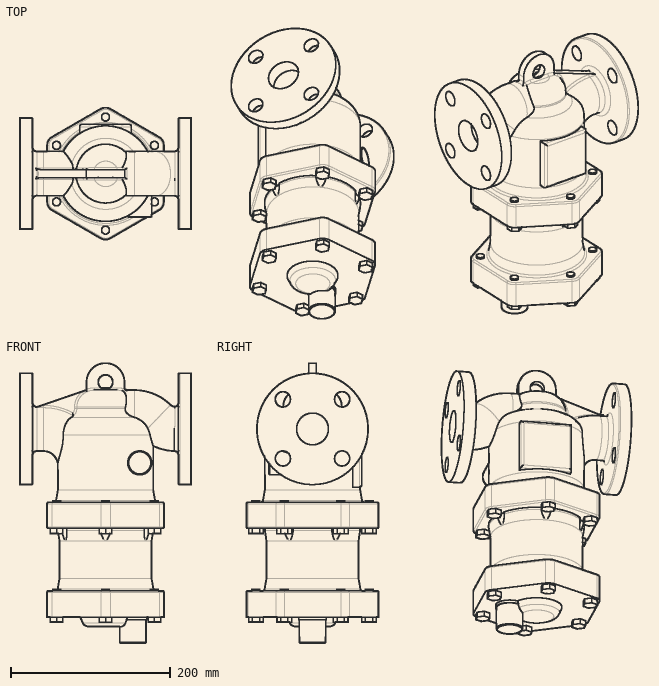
import cadquery as cq
import math


FACE_TO_FACE = 215.0
FLANGE_DIA = 140.0
FLANGE_THICK = 16.0
FLANGE_EDGE_FILLET = 1.5
BORE_DIA = 40.0
BORE_DEPTH = 20.0
FLANGE_HOLE_DIA = 19.0
FLANGE_HOLE_CIRCLE = 105.0
FLANGE_HOLE_COUNT = 4
FLANGE_HOLE_START_ANGLE = 45
PIPE_DIA = 56.0
PIPE_FILLET = 5.0
ELBOW_RADIUS = 46.0
ELBOW_START_X = -78.0
BEND_START_X = 36.0
BEND_END_X = 88.0
BEND_RISE = 21.0

UPPER_RADIUS = 60.0
LOWER_RADIUS = 58.0
FLARE = 2.3
FLARE_HEIGHT = 13.0
ROOT_FILLET = 2.5
SHOULDER_RADIUS = 24.0
SHOULDER_Z = -7.5
DOME_RADIUS = 37.0
DOME_ROUND = 21.0
DOME_TOP_Z = PIPE_DIA / 2 + BEND_RISE
NECK_FILLET = 12.0

HEX_SIDES = 6
HEX_FLATS_RATIO = math.cos(math.pi / HEX_SIDES)
HEX_ACROSS_FLATS = 147.0
HEX_CORNER_RADIUS = 12.0
HEX_THICK = 33.0
HEX_EDGE_FILLET = 2.0
UPPER_HEX_TOP_Z = -92.0
LOWER_HEX_TOP_Z = -203.3

BOLT_COUNT = 6
BOLT_CIRCLE_RADIUS = 71.0
BOLT_DIA = 10.0
BOLT_PROTRUSION = 2.0
BOLT_HEAD_FLATS = 16.0
BOLT_HEAD_HEIGHT = 6.5
SPOT_FACE_DIA = 25.8

LUG_RADIUS = 24.0
LUG_HOLE_DIA = 18.0
LUG_THICK = 10.0
LUG_TOP_Z = 82.8
LUG_FOOT_FILLET = 3.0
RIB_TIP_X = -88.0
RIB_TIP_Z = 27.0

SIDE_BOSS_DIA = 30.0
SIDE_BOSS_X = 43.0
SIDE_BOSS_Z = -42.6
SIDE_BOSS_END_Y = -55.0
SIDE_BOSS_CHAMFER = 1.0
PAD_WIDTH = 65.0
PAD_FACE_Y = 62.0
PAD_TOP_Z = -10.0
PAD_BOTTOM_Z = -73.0
PAD_FILLET = 3.0

COVER_BOSS_RADIUS = 32.0
COVER_BOSS_DEPTH = 12.0
COVER_BOSS_TAPER = 24.0
COVER_BOSS_FILLET = 8.0
DRAIN_DIA = 33.3
DRAIN_COLLAR_DIA = 35.0
DRAIN_COLLAR_HEIGHT = 3.5
DRAIN_X = 34.4
DRAIN_BOTTOM_Z = -269.17
DRAIN_CHAMFER = 1.0

SEAM_SAMPLE = 0.4
SEAM_TOLERANCE = 0.001

FLANGE_FACE_X = FACE_TO_FACE / 2
FLANGE_BACK_X = FLANGE_FACE_X - FLANGE_THICK
UPPER_HEX_BOTTOM_Z = UPPER_HEX_TOP_Z - HEX_THICK
LOWER_HEX_BOTTOM_Z = LOWER_HEX_TOP_Z - HEX_THICK
BOLT_POINTS = [
    (
        BOLT_CIRCLE_RADIUS * math.sin(2 * math.pi * i / BOLT_COUNT),
        BOLT_CIRCLE_RADIUS * math.cos(2 * math.pi * i / BOLT_COUNT),
    )
    for i in range(BOLT_COUNT)
]


def cylinder_z(radius, bottom, top):
    return cq.Workplane("XY").workplane(offset=bottom).circle(radius).extrude(top - bottom)


def upper_casing():
    """Straight barrel with a skirt below, a rounded shoulder and a dome above."""
    skirt_radius = UPPER_RADIUS + FLARE
    skirt_z = UPPER_HEX_TOP_Z + ROOT_FILLET
    shoulder_centre = UPPER_RADIUS - SHOULDER_RADIUS
    neck_centre = DOME_RADIUS + NECK_FILLET
    centre_distance = SHOULDER_RADIUS + NECK_FILLET
    edge_angle = math.acos((neck_centre - shoulder_centre) / centre_distance)
    edge_radius = shoulder_centre + SHOULDER_RADIUS * math.cos(edge_angle)
    edge_z = SHOULDER_Z + SHOULDER_RADIUS * math.sin(edge_angle)
    neck_z = SHOULDER_Z + centre_distance * math.sin(edge_angle)
    mid_shoulder = (
        shoulder_centre + SHOULDER_RADIUS * math.cos(edge_angle / 2),
        SHOULDER_Z + SHOULDER_RADIUS * math.sin(edge_angle / 2),
    )
    dome_start_z = DOME_TOP_Z - DOME_ROUND
    dome_flat = DOME_RADIUS - DOME_ROUND
    diagonal = DOME_ROUND * math.sqrt(0.5)
    profile = (
        cq.Workplane("XZ")
        .moveTo(0, UPPER_HEX_TOP_Z)
        .lineTo(skirt_radius + ROOT_FILLET, UPPER_HEX_TOP_Z)
        .radiusArc((skirt_radius, skirt_z), ROOT_FILLET)
        .lineTo(UPPER_RADIUS, skirt_z + FLARE_HEIGHT)
        .lineTo(UPPER_RADIUS, SHOULDER_Z)
        .threePointArc(mid_shoulder, (edge_radius, edge_z))
        .radiusArc((DOME_RADIUS, neck_z), NECK_FILLET)
        .lineTo(DOME_RADIUS, dome_start_z)
        .threePointArc((dome_flat + diagonal, dome_start_z + diagonal), (dome_flat, DOME_TOP_Z))
        .lineTo(0, DOME_TOP_Z)
        .close()
    )
    return profile.revolve(360, (0, 0, 0), (0, 1, 0))


def lower_casing():
    """Barrel between the clamp flanges, flaring towards both."""
    skirt_radius = LOWER_RADIUS + FLARE
    skirt_z = LOWER_HEX_TOP_Z + ROOT_FILLET
    profile = (
        cq.Workplane("XZ")
        .moveTo(0, LOWER_HEX_TOP_Z)
        .lineTo(skirt_radius + ROOT_FILLET, LOWER_HEX_TOP_Z)
        .radiusArc((skirt_radius, skirt_z), ROOT_FILLET)
        .lineTo(LOWER_RADIUS, skirt_z + FLARE_HEIGHT)
        .lineTo(LOWER_RADIUS, UPPER_HEX_BOTTOM_Z - ROOT_FILLET - FLARE_HEIGHT)
        .lineTo(skirt_radius, UPPER_HEX_BOTTOM_Z - ROOT_FILLET)
        .lineTo(skirt_radius, UPPER_HEX_BOTTOM_Z)
        .lineTo(0, UPPER_HEX_BOTTOM_Z)
        .close()
    )
    barrel = profile.revolve(360, (0, 0, 0), (0, 1, 0))
    spot_face_z = UPPER_HEX_BOTTOM_Z - ROOT_FILLET - FLARE_HEIGHT
    spot_face = cylinder_z(SPOT_FACE_DIA / 2, spot_face_z, UPPER_HEX_BOTTOM_Z)
    for x, y in BOLT_POINTS:
        barrel = barrel.cut(spot_face.translate((x, y, 0)))
    return barrel


def hex_flange(top_z, rounded_edges):
    """Hexagonal clamp flange with corners on the Y axis."""
    plate = (
        cq.Workplane("XY")
        .workplane(offset=top_z - HEX_THICK)
        .transformed(rotate=(0, 0, 90))
        .polygon(HEX_SIDES, HEX_ACROSS_FLATS / HEX_FLATS_RATIO)
        .extrude(HEX_THICK)
        .edges("|Z")
        .fillet(HEX_CORNER_RADIUS)
    )
    return plate.edges(rounded_edges).fillet(HEX_EDGE_FILLET)


def clamp_bolts(top_z):
    """Bolt ends above and hexagon heads below one clamp flange."""
    bottom_z = top_z - HEX_THICK
    ends = (
        cq.Workplane("XY")
        .workplane(offset=bottom_z)
        .pushPoints(BOLT_POINTS)
        .circle(BOLT_DIA / 2)
        .extrude(HEX_THICK + BOLT_PROTRUSION)
    )
    head_plane = cq.Workplane("XY").workplane(offset=bottom_z).transformed(rotate=(0, 0, 90))
    heads = (
        head_plane.pushPoints([(y, -x) for x, y in BOLT_POINTS])
        .polygon(HEX_SIDES, BOLT_HEAD_FLATS / HEX_FLATS_RATIO)
        .extrude(-BOLT_HEAD_HEIGHT)
    )
    return ends.union(heads)


def pipe_flange(side):
    """Flange plate with the pipe's root fillet; side is -1 for inlet, +1 for outlet."""
    pipe_radius = PIPE_DIA / 2
    fillet_end_x = FLANGE_BACK_X - PIPE_FILLET
    profile = (
        cq.Workplane("XY")
        .moveTo(side * FLANGE_FACE_X, 0)
        .lineTo(side * FLANGE_FACE_X, FLANGE_DIA / 2)
        .lineTo(side * (FLANGE_BACK_X + FLANGE_EDGE_FILLET), FLANGE_DIA / 2)
        .radiusArc((side * FLANGE_BACK_X, FLANGE_DIA / 2 - FLANGE_EDGE_FILLET), side * -FLANGE_EDGE_FILLET)
        .lineTo(side * FLANGE_BACK_X, pipe_radius + PIPE_FILLET)
        .radiusArc((side * fillet_end_x, pipe_radius), side * PIPE_FILLET)
        .lineTo(side * fillet_end_x, 0)
        .close()
    )
    return profile.revolve(360, (0, 0, 0), (1, 0, 0))


def inlet_pipe():
    """Straight stub followed by an elbow turning down into the casing."""
    diagonal = ELBOW_RADIUS * math.sqrt(0.5)
    path = (
        cq.Workplane("XZ")
        .moveTo(-FLANGE_BACK_X, 0)
        .lineTo(ELBOW_START_X, 0)
        .threePointArc(
            (ELBOW_START_X + diagonal, diagonal - ELBOW_RADIUS),
            (ELBOW_START_X + ELBOW_RADIUS, -ELBOW_RADIUS),
        )
    )
    return cq.Workplane("YZ", origin=(-FLANGE_BACK_X, 0, 0)).circle(PIPE_DIA / 2).sweep(path)


def outlet_pipe():
    """S-bend from the dome down to the flange axis, made of two equal arcs."""
    middle = ((BEND_START_X + BEND_END_X) / 2, BEND_RISE / 2)
    path = (
        cq.Workplane("XZ")
        .moveTo(0, BEND_RISE)
        .lineTo(BEND_START_X, BEND_RISE)
        .tangentArcPoint(middle, relative=False)
        .tangentArcPoint((BEND_END_X, 0), relative=False)
        .lineTo(FLANGE_BACK_X, 0)
    )
    return cq.Workplane("YZ", origin=(0, 0, BEND_RISE)).circle(PIPE_DIA / 2).sweep(path)


def flange_openings(side):
    """Blind bore and bolt holes of one pipe flange."""
    face = cq.Workplane("YZ", origin=(side * FLANGE_FACE_X, 0, 0))
    bore = face.circle(BORE_DIA / 2).extrude(-side * BORE_DEPTH)
    holes = (
        face.polarArray(FLANGE_HOLE_CIRCLE / 2, FLANGE_HOLE_START_ANGLE, 360, FLANGE_HOLE_COUNT)
        .circle(FLANGE_HOLE_DIA / 2)
        .extrude(-side * FLANGE_THICK)
    )
    return bore.union(holes)


def lifting_lug():
    """Lug plate on the dome with a sloping rib running out along the inlet pipe."""
    eye_z = LUG_TOP_Z - LUG_RADIUS
    outline = (
        cq.Workplane("XZ", origin=(0, LUG_THICK / 2, 0))
        .moveTo(RIB_TIP_X, 0)
        .lineTo(RIB_TIP_X, RIB_TIP_Z)
        .lineTo(-LUG_RADIUS, DOME_TOP_Z)
        .lineTo(-LUG_RADIUS, eye_z)
        .threePointArc((0, LUG_TOP_Z), (LUG_RADIUS, eye_z))
        .lineTo(LUG_RADIUS, 0)
        .close()
    )
    return outline.extrude(LUG_THICK)


def lug_eye():
    eye = cq.Workplane("XZ", origin=(0, LUG_THICK / 2, LUG_TOP_Z - LUG_RADIUS))
    return eye.circle(LUG_HOLE_DIA / 2).extrude(LUG_THICK)


def join_with_fillet(base, addition, radius):
    """Join two solids and round the edges where their surfaces meet."""
    joined = base.union(addition)
    parents = (base.val(), addition.val())

    def is_seam(edge):
        point = cq.Vertex.makeVertex(*edge.positionAt(SEAM_SAMPLE).toTuple())
        return all(min(point.distance(face) for face in solid.Faces()) < SEAM_TOLERANCE for solid in parents)

    seam = [edge for edge in joined.edges().vals() if is_seam(edge)]
    return cq.Workplane(joined.val().fillet(radius, seam))


def side_boss():
    boss = cq.Workplane("XZ", origin=(SIDE_BOSS_X, 0, SIDE_BOSS_Z)).circle(SIDE_BOSS_DIA / 2)
    return boss.extrude(-SIDE_BOSS_END_Y).faces("<Y").chamfer(SIDE_BOSS_CHAMFER)


def rear_pad():
    """Flat rectangular pad on the back of the upper barrel."""
    pad = cq.Workplane("XY").box(
        PAD_WIDTH, PAD_FACE_Y, PAD_TOP_Z - PAD_BOTTOM_Z, centered=(True, False, False)
    )
    return pad.faces(">Y").edges().fillet(PAD_FILLET).translate((0, 0, PAD_BOTTOM_Z))


def bottom_cover():
    """Tapered central boss and the off-centre drain pipe."""
    boss = (
        cq.Workplane("XY")
        .workplane(offset=LOWER_HEX_BOTTOM_Z)
        .circle(COVER_BOSS_RADIUS)
        .extrude(-COVER_BOSS_DEPTH, taper=COVER_BOSS_TAPER)
        .faces("<Z")
        .edges()
        .fillet(COVER_BOSS_FILLET)
    )
    drain = cylinder_z(DRAIN_DIA / 2, DRAIN_BOTTOM_Z, LOWER_HEX_BOTTOM_Z)
    drain = drain.faces("<Z").chamfer(DRAIN_CHAMFER)
    collar_z = LOWER_HEX_BOTTOM_Z - DRAIN_COLLAR_HEIGHT
    drain = drain.union(cylinder_z(DRAIN_COLLAR_DIA / 2, collar_z, LOWER_HEX_BOTTOM_Z))
    return boss.union(drain.translate((DRAIN_X, 0, 0)))


result = upper_casing().union(inlet_pipe()).union(outlet_pipe())
result = join_with_fillet(result, lifting_lug(), LUG_FOOT_FILLET).cut(lug_eye())
for addition in (
    pipe_flange(-1),
    pipe_flange(1),
    side_boss(),
    rear_pad(),
    hex_flange(UPPER_HEX_TOP_Z, "#Z"),
    lower_casing(),
    hex_flange(LOWER_HEX_TOP_Z, ">Z"),
    clamp_bolts(UPPER_HEX_TOP_Z),
    clamp_bolts(LOWER_HEX_TOP_Z),
    bottom_cover(),
):
    result = result.union(addition)
for side in (-1, 1):
    result = result.cut(flange_openings(side))